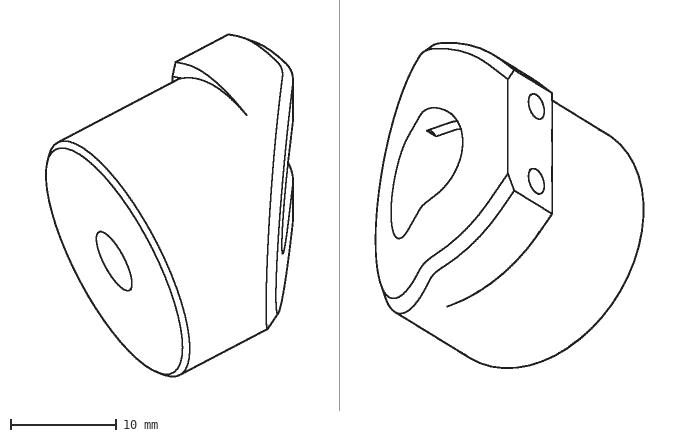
import cadquery as cq
import math

length = 22.0
radius = 12.5
front_chamfer = 0.5
bore_diameter = 6.25

pocket_length = 14.25
pocket_width = 10.0
pocket_floor_y = 4.0

head_start = 14.0
head_chamfer = 1.0
shoulder_radius = 15.0
shoulder_center_x = -0.25
corner_angle = 45.0

slant_start_x = -2.5
slant_end_y = 10.12
bend_radius = 4.0

cross_hole_diameter = 2.5
cross_hole_y = 17.5
cross_hole_z = 4.0

normal_tolerance = 0.01


def cylinder_y(diameter):
    """Cylinder of the full part length around the Y axis."""
    return cq.Workplane("XZ").circle(diameter / 2).extrude(-length)


def head():
    """Head with a -X flat, beveled corners and large tangent shoulders."""
    center_z = radius - shoulder_radius
    half_turn = math.radians(corner_angle) / 2
    middle_x = shoulder_center_x - shoulder_radius * math.sin(half_turn)
    middle_z = center_z + shoulder_radius * math.cos(half_turn)
    corner_x = shoulder_center_x - shoulder_radius * math.sin(2 * half_turn)
    corner_z = center_z + shoulder_radius * math.cos(2 * half_turn)
    flat_half_height = corner_z - (corner_x + radius) * math.tan(2 * half_turn)
    outline = (
        cq.Workplane("XZ", origin=(0, head_start, 0))
        .moveTo(-radius, -flat_half_height)
        .lineTo(-radius, flat_half_height)
        .lineTo(corner_x, corner_z)
        .threePointArc((middle_x, middle_z), (shoulder_center_x, radius))
        .lineTo(0, radius)
        .threePointArc((radius, 0), (0, -radius))
        .lineTo(shoulder_center_x, -radius)
        .threePointArc((middle_x, -middle_z), (corner_x, -corner_z))
        .close()
    )
    return outline.extrude(head_start - length).faces("<Y").chamfer(head_chamfer)


def slanted_envelope():
    """Plan outline with the slanted rear face, as tall as the barrel and with a rounded bend."""
    outline = [
        (-radius, 0),
        (radius, 0),
        (radius, slant_end_y),
        (slant_start_x, length),
        (-radius, length),
    ]
    return (
        cq.Workplane("XY", origin=(0, 0, -radius))
        .polyline(outline)
        .close()
        .extrude(2 * radius)
        .edges(cq.selectors.NearestToPointSelector((slant_start_x, length, 0)))
        .fillet(bend_radius)
    )


def chamfer_rear_rim(body):
    """Bevel the rim of the flat, bent and slanted rear faces, except along the -X flat."""
    rear_faces = [
        face
        for face in body.faces().vals()
        if face.normalAt().y > normal_tolerance
    ]
    shared = [edge for face in rear_faces for edge in face.Edges()]
    rim = [edge for edge in shared if not is_parallel_to_z(edge)]
    return body.newObject(rim).chamfer(head_chamfer)


def is_parallel_to_z(edge):
    """True for the straight edges of the bend and of the -X flat."""
    return edge.geomType() == "LINE" and abs(edge.tangentAt(0).z) > 1 - normal_tolerance


barrel = cylinder_y(2 * radius).faces("<Y").chamfer(front_chamfer)
body = chamfer_rear_rim(barrel.union(head()).intersect(slanted_envelope()))
bore = cylinder_y(bore_diameter)
pocket = (
    cq.Workplane("XZ", origin=(0, pocket_floor_y, 0))
    .slot2D(pocket_length, pocket_width)
    .extrude(pocket_floor_y - length)
)
cross_holes = (
    cq.Workplane("YZ", origin=(-radius, 0, 0))
    .pushPoints([(cross_hole_y, cross_hole_z), (cross_hole_y, -cross_hole_z)])
    .circle(cross_hole_diameter / 2)
    .extrude(radius)
)
result = body.cut(bore).cut(pocket).cut(cross_holes)